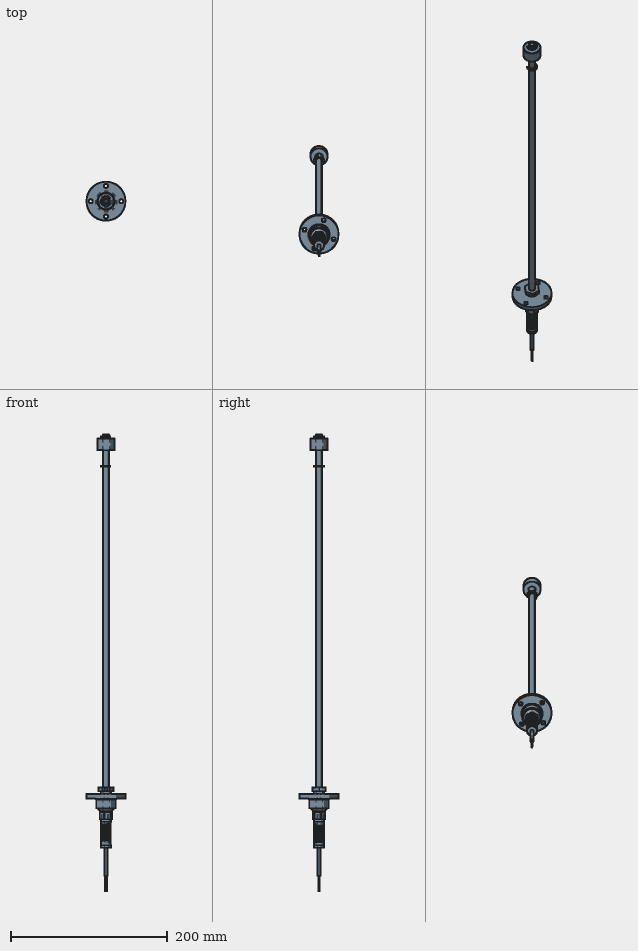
import cadquery as cq
import math


rod_dia = 8.0
rod_top = 459.6
rod_tip_chamfer = 1.0

groove_dia = 7.0
groove_clearance = 0.2
ring_dia = 13.0
ring_thickness = 1.0
ring_mouth = 6.0
upper_ring_depth = 2.8
lower_ring_depth = 40.8
ring_bottoms = [rod_top - depth - ring_thickness for depth in (upper_ring_depth, lower_ring_depth)]

float_dia = 22.0
float_bore = 9.0
float_height = 15.0
float_chamfer = 0.6
float_top = rod_top - 5.4

flange_dia = 50.0
flange_thickness = 6.0
bolt_hole_dia = 5.0
bolt_circle_dia = 39.0
bolt_hole_count = 4
hub_dia = 14.0
hub_height = 3.3
head_across_flats = 17.0
head_height = 5.0
clamp_hole_dia = 4.0
boss_dia = 25.0
boss_bottom = -18.3
boss_shoulder = 1.2
cone_end_dia = 14.0
cone_height = 3.9

gland_top = boss_bottom - cone_height
gland_dia = 13.0
gland_neck = 1.0
gland_hex_across_flats = 15.0
gland_hex_round_dia = 16.6
gland_hex_height = 9.3
gland_hex_angle = 15.0
gland_bottom = -69.0
waist_dia = 12.8
waist_top = -35.7
waist_bottom = -65.5

spiral_top = -38.9
spiral_turns = 7
spiral_pitch = 3.2
spiral_width = 1.5
spiral_depth = 1.5
spiral_start_angle = -45.0

cable_dia = 4.0
total_length = 584.01
wire_dia = 1.4
wire_length = 20.0
wire_offset_x = 0.8
wire_offset_y = 0.5
wire_bottom = rod_top - total_length
cable_bottom = wire_bottom + wire_length


def cylinder(dia, bottom, top):
    return cq.Workplane("XY").workplane(offset=bottom).circle(dia / 2).extrude(top - bottom)


def hexagon(across_flats, bottom, top):
    """Hexagonal prism with two corners on the X axis."""
    across_corners = across_flats / math.cos(math.radians(30))
    return cq.Workplane("XY").workplane(offset=bottom).polygon(6, across_corners).extrude(top - bottom)


def make_rod():
    rod = cylinder(rod_dia, gland_top, rod_top).faces(">Z").chamfer(rod_tip_chamfer)
    for bottom in ring_bottoms:
        low = bottom - groove_clearance
        high = bottom + ring_thickness + groove_clearance
        rod = rod.cut(cylinder(rod_dia, low, high).cut(cylinder(groove_dia, low, high)))
    return rod


def make_snap_ring(bottom):
    """Open ring that snaps into a rod groove, with its mouth towards +X."""
    top = bottom + ring_thickness
    ring = cylinder(ring_dia, bottom, top).cut(cylinder(groove_dia, bottom, top))
    mouth = cq.Workplane("XY").box(ring_dia, ring_mouth, ring_thickness, centered=(False, True, False))
    return ring.cut(mouth.translate((0, 0, bottom)))


def make_float():
    body = cylinder(float_dia, float_top - float_height, float_top).faces(">Z").chamfer(float_chamfer)
    return body.cut(cylinder(float_bore, float_top - float_height, float_top))


def make_flange():
    profile = [
        (0, hub_height),
        (hub_dia / 2, hub_height),
        (hub_dia / 2, 0),
        (flange_dia / 2, 0),
        (flange_dia / 2, -flange_thickness),
        (boss_dia / 2 + boss_shoulder, -flange_thickness),
        (boss_dia / 2, -flange_thickness - boss_shoulder),
        (boss_dia / 2, boss_bottom),
        (cone_end_dia / 2 + cone_height, boss_bottom),
        (cone_end_dia / 2, gland_top),
        (0, gland_top),
    ]
    flange = cq.Workplane("XZ").polyline(profile).close().revolve(360, (0, 0, 0), (0, 1, 0))
    head_top = hub_height + head_height
    flange = flange.union(hexagon(head_across_flats, hub_height, head_top))
    bolt_holes = (
        cq.Workplane("XY")
        .polarArray(bolt_circle_dia / 2, 0, 360, bolt_hole_count)
        .circle(bolt_hole_dia / 2)
        .extrude(-flange_thickness)
    )
    clamp_hole = (
        cq.Workplane("XZ")
        .center(0, hub_height + head_height / 2)
        .circle(clamp_hole_dia / 2)
        .extrude(head_across_flats)
    )
    rod_bore = cylinder(rod_dia, gland_top, head_top)
    return flange.cut(bolt_holes).cut(clamp_hole).cut(rod_bore)


def make_spiral_cutter():
    spiral_height = spiral_turns * spiral_pitch
    path = cq.Wire.makeHelix(spiral_pitch, spiral_height, gland_dia / 2)
    section = cq.Workplane("XZ").center(gland_dia / 2, 0).rect(2 * spiral_depth, spiral_width)
    cutter = section.sweep(cq.Workplane(path), isFrenet=True)
    cutter = cutter.rotate((0, 0, 0), (0, 0, 1), spiral_start_angle)
    return cutter.translate((0, 0, spiral_top - spiral_height))


def make_gland():
    hex_top = gland_top - gland_neck
    hex_bottom = hex_top - gland_hex_height
    nut = hexagon(gland_hex_across_flats, hex_bottom, hex_top)
    nut = nut.rotate((0, 0, 0), (0, 0, 1), gland_hex_angle)
    nut = nut.intersect(cylinder(gland_hex_round_dia, hex_bottom, hex_top))
    gland = cylinder(gland_dia, gland_bottom, gland_top).union(nut)
    skin = cylinder(gland_dia, waist_bottom, waist_top).cut(cylinder(waist_dia, waist_bottom, waist_top))
    gland = gland.cut(skin).cut(make_spiral_cutter())
    return gland.cut(cylinder(cable_dia, gland_bottom, gland_top))


def make_wire(x, y):
    return cylinder(wire_dia, wire_bottom, cable_bottom).translate((x, y, 0))


rod = make_rod()
snap_rings = [make_snap_ring(bottom) for bottom in ring_bottoms]
float_body = make_float()
flange = make_flange()
gland = make_gland()
cable = cylinder(cable_dia, cable_bottom, gland_top)
wires = [make_wire(side * wire_offset_x, -side * wire_offset_y) for side in (-1, 1)]

bodies = [rod, *snap_rings, float_body, flange, gland, cable, *wires]
result = cq.Compound.makeCompound([body.val() for body in bodies])